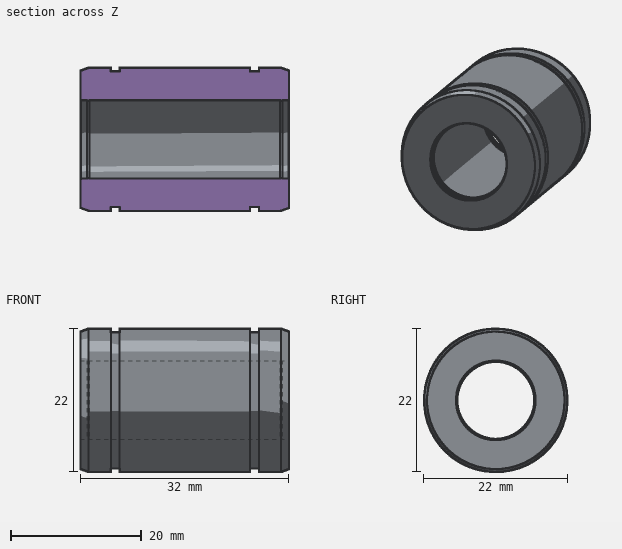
import cadquery as cq

length = 32.0
outer_diameter = 22.0

chamfer_length = 1.25
chamfer_depth = 0.46

groove_span = 22.7
groove_width = 1.35
groove_diameter = 20.9

bore_diameter = 12.0
lip_diameter = 11.8
lip_inset = 1.0
lip_width = 0.4
mouth_chamfer = 0.1

END_SIDES = (-1, 1)


def cylinder_along_x(diameter, start, width):
    """Solid cylinder on the X axis, from start to start + width."""
    return cq.Workplane("YZ", origin=(start, 0, 0)).circle(diameter / 2).extrude(width)


def chamfered_body():
    """Solid cylinder with a shallow conical chamfer at both ends."""
    half_length = length / 2
    shoulder = half_length - chamfer_length
    outer_radius = outer_diameter / 2
    end_radius = outer_radius - chamfer_depth
    half_section = [
        (-half_length, 0),
        (-half_length, end_radius),
        (-shoulder, outer_radius),
        (shoulder, outer_radius),
        (half_length, end_radius),
        (half_length, 0),
    ]
    return cq.Workplane("XY").polyline(half_section).close().revolve(360, (0, 0, 0), (1, 0, 0))


def groove_ring(side):
    """Ring removed from the outside to form one retaining-ring groove."""
    centre = side * (groove_span - groove_width) / 2
    start = centre - groove_width / 2
    outside = cylinder_along_x(outer_diameter, start, groove_width)
    return outside.cut(cylinder_along_x(groove_diameter, start, groove_width))


def bore_section(start, width):
    """Full-diameter stretch of the bore."""
    return cylinder_along_x(bore_diameter, start, width)


def mouth_cone(side):
    """Conical cutter that chamfers the bore edge at one end face."""
    bore_radius = bore_diameter / 2
    face = side * length / 2
    inner_end = face - side * mouth_chamfer
    half_section = [
        (inner_end, 0),
        (inner_end, bore_radius),
        (face, bore_radius + mouth_chamfer),
        (face, 0),
    ]
    return cq.Workplane("XY").polyline(half_section).close().revolve(360, (0, 0, 0), (1, 0, 0))


middle_length = length - 2 * (lip_inset + lip_width)

result = chamfered_body()
result = result.cut(cylinder_along_x(lip_diameter, -length / 2, length))
result = result.cut(bore_section(-middle_length / 2, middle_length))
result = result.cut(bore_section(-length / 2, lip_inset))
result = result.cut(bore_section(length / 2 - lip_inset, lip_inset))
for side in END_SIDES:
    result = result.cut(groove_ring(side)).cut(mouth_cone(side))